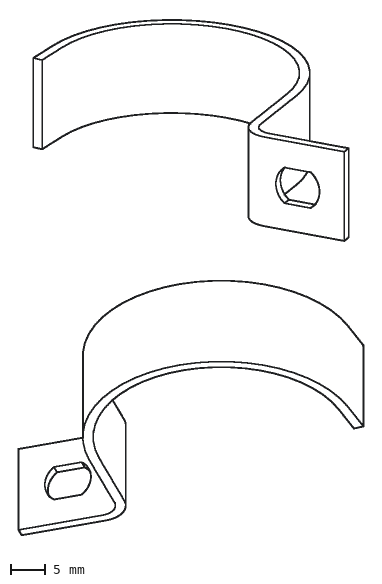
import cadquery as cq
import math

overall_length = 55.9
overall_depth = 36.0
strip_width = 14.0
thickness = 1.5
ring_outer_radius = 20.0
bend_inner_radius = 2.6
lip_angle = math.radians(5.5)
lip_length = 5.6
hole_diameter = 7.0
hole_across_flats = 5.6
hole_to_flange_end = 7.5

ring_inner_radius = ring_outer_radius - thickness
bend_outer_radius = bend_inner_radius + thickness
flange_front = ring_outer_radius - overall_depth
flange_back = flange_front + thickness
bend_x = ring_outer_radius + bend_inner_radius
bend_y = flange_back + bend_inner_radius
lip_tip_x = -ring_outer_radius * math.cos(lip_angle) - lip_length * math.sin(lip_angle)
flange_end = lip_tip_x + overall_length


def lip_start(radius):
    """Point where the ring arc of this radius runs tangent into the lip."""
    return (-radius * math.cos(lip_angle), radius * math.sin(lip_angle))


def lip_tip(radius):
    """Free end of the lip face that continues the arc of this radius."""
    x, y = lip_start(radius)
    return (x - lip_length * math.sin(lip_angle), y - lip_length * math.cos(lip_angle))


def bend_middle(radius):
    """Midpoint of a quarter-circle face of the bend."""
    offset = radius * math.sqrt(0.5)
    return (bend_x - offset, bend_y - offset)


def make_strip():
    """Strip profile in the XY plane: lip, half ring, straight leg, bend and flange."""
    return (
        cq.Workplane("XY")
        .moveTo(*lip_tip(ring_outer_radius))
        .lineTo(*lip_start(ring_outer_radius))
        .threePointArc((0, ring_outer_radius), (ring_outer_radius, 0))
        .lineTo(ring_outer_radius, bend_y)
        .threePointArc(bend_middle(bend_inner_radius), (bend_x, flange_back))
        .lineTo(flange_end, flange_back)
        .lineTo(flange_end, flange_front)
        .lineTo(bend_x, flange_front)
        .threePointArc(bend_middle(bend_outer_radius), (ring_inner_radius, bend_y))
        .lineTo(ring_inner_radius, 0)
        .threePointArc((0, ring_inner_radius), lip_start(ring_inner_radius))
        .lineTo(*lip_tip(ring_inner_radius))
        .close()
        .extrude(strip_width / 2, both=True)
    )


def make_hole_cutter():
    """Round hole with flats above and below, running through the flange."""
    hole_x = flange_end - hole_to_flange_end
    flange_middle = (flange_front + flange_back) / 2
    cutter_depth = 2 * thickness
    flats = cq.Workplane("XY").box(hole_diameter, cutter_depth, hole_across_flats)
    round_hole = cq.Workplane("XZ").circle(hole_diameter / 2).extrude(cutter_depth / 2, both=True)
    return round_hole.intersect(flats).translate((hole_x, flange_middle, 0))


result = make_strip().cut(make_hole_cutter())